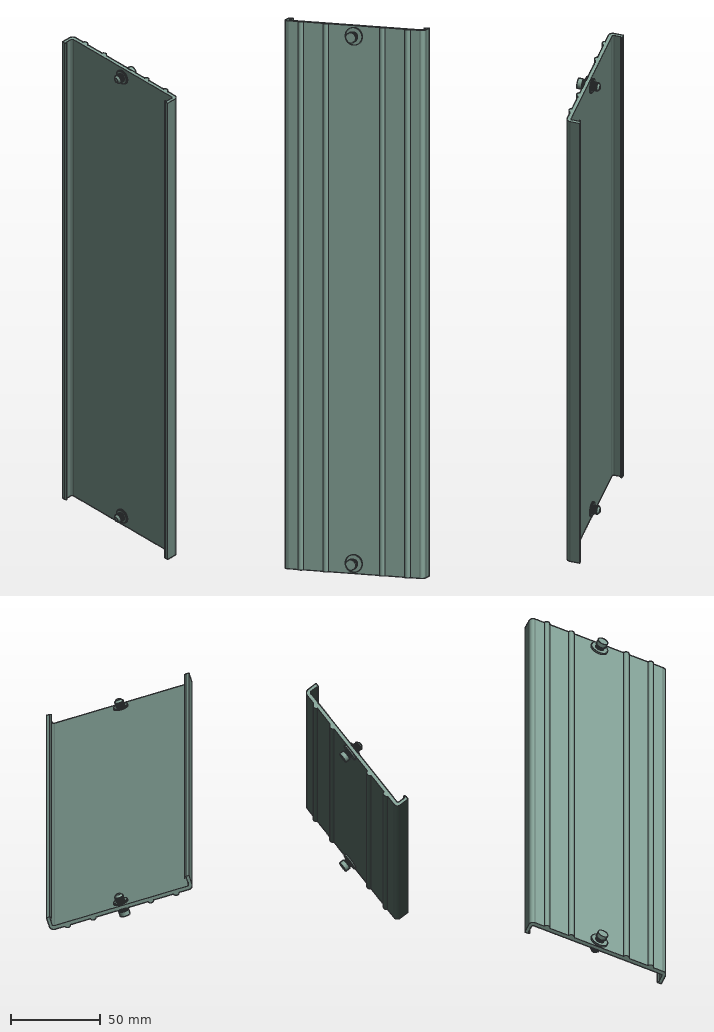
import cadquery as cq

length = 311.0
width = 83.5
plate_back = 8.0
plate_thickness = 2.25
outer_radius = 2.5
wall_thickness = 2.0
inner_radius = 1.0

lip_reach = 1.0
lip_height = 1.0
lip_bevel = 0.3

rib_offsets = (16.8, 31.7)
rib_width = 3.5
rib_height = 1.2

screw_inset = 6.0
shank_diameter = 5.0
shank_front = 1.0
tip_chamfer = 1.2
collar_diameter = 8.5
collar_thickness = 1.0
collar_chamfer = 0.3
washer_diameter = 10.0
washer_thickness = 1.0
head_diameter = 6.0
head_back = 13.7
head_thickness = 2.8

thread_pitch = 0.78
thread_depth = 0.3
tip_turns = 3
neck_turns = 2

plate_front = plate_back - plate_thickness


def make_channel():
    """Plate with two side walls, rounded along both back edges."""
    outside = (
        cq.Workplane("XY").center(0, plate_back / 2).rect(width, plate_back).extrude(length)
        .edges("|Z and >Y").fillet(outer_radius)
    )
    inside = (
        cq.Workplane("XY").center(0, plate_front / 2)
        .rect(width - 2 * wall_thickness, plate_front).extrude(length)
        .edges("|Z and >Y").fillet(inner_radius)
    )
    return outside.cut(inside)


def make_lip(side):
    wall_face = width / 2 - wall_thickness
    lip_face = wall_face - lip_reach
    return (
        cq.Workplane("XY")
        .polyline([
            (side * wall_face, 0),
            (side * lip_face, lip_bevel),
            (side * lip_face, lip_height),
            (side * wall_face, lip_height),
        ])
        .close().extrude(length)
    )


def make_rib(center_x):
    return (
        cq.Workplane("XY", origin=(center_x, plate_back, 0))
        .moveTo(-rib_width / 2, 0)
        .threePointArc((0, rib_height), (rib_width / 2, 0))
        .close().extrude(length)
    )


def disc(diameter, front, back, z):
    """Round disc along Y between two Y positions."""
    return cq.Workplane("XZ", origin=(0, back, z)).circle(diameter / 2).extrude(back - front)


def make_panel(screw_heights):
    panel = make_channel()
    for side in (-1, 1):
        panel = panel.union(make_lip(side))
        for offset in rib_offsets:
            panel = panel.union(make_rib(side * offset))
    for z in screw_heights:
        panel = panel.cut(disc(shank_diameter, plate_front, plate_back, z))
    return panel


def make_thread_groove(y, z):
    """V-shaped ring to be cut from the shank, centred on y."""
    radius = shank_diameter / 2
    return (
        cq.Workplane("XY", origin=(0, y, z))
        .polyline([
            (radius, -thread_pitch / 2),
            (radius - thread_depth, 0),
            (radius, thread_pitch / 2),
        ])
        .close().revolve(360, (0, 0, 0), (0, 1, 0))
    )


def make_screw(z):
    collar_front = plate_front - collar_thickness
    washer_back = plate_back + washer_thickness
    screw = disc(shank_diameter, shank_front, head_back, z).faces("<Y").chamfer(tip_chamfer)
    tip_grooves = [collar_front - (turn + 0.5) * thread_pitch for turn in range(tip_turns)]
    neck_grooves = [washer_back + (turn + 0.5) * thread_pitch for turn in range(neck_turns)]
    for groove_y in tip_grooves + neck_grooves:
        screw = screw.cut(make_thread_groove(groove_y, z))
    collar = disc(collar_diameter, collar_front, plate_front, z).faces("<Y").chamfer(collar_chamfer)
    washer = disc(washer_diameter, plate_back, washer_back, z)
    head = disc(head_diameter, head_back - head_thickness, head_back, z)
    return screw.union(collar).union(washer).union(head)


screw_heights = (screw_inset, length - screw_inset)
panel = make_panel(screw_heights)
screws = [make_screw(z) for z in screw_heights]

result = cq.Compound.makeCompound([panel.val(), *[screw.val() for screw in screws]])